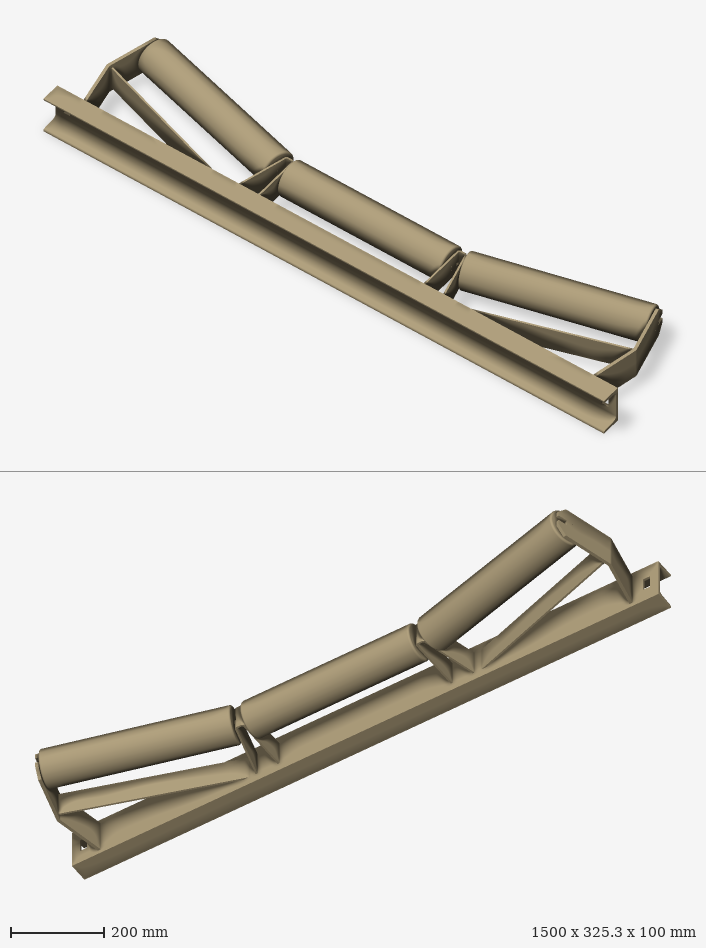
import cadquery as cq
import math

BEAM_LENGTH = 1500
BEAM_HEIGHT = 100.0
FLANGE_DEPTH = 50.0
WEB_THICKNESS = 6.0
FLANGE_THICKNESS = 8.5
FLANGE_SLOPE = 0.08
ROOT_RADIUS = 8.5
TOE_RADIUS = 5.0
BEAM_SLOT_WIDTH = 18.0
BEAM_SLOT_HEIGHT = 32.0
BEAM_SLOT_INSET = 30.0

ROLLER_DIAMETER = 88.0
ROLLER_LENGTH = 432.0
ROLLER_END_RADIUS = 5.0
SHAFT_DIAMETER = 20.0
SHAFT_FLATS = 14.0
END_GAP = 3.0

TROUGH_ANGLE = 15
CENTRE_AXIS_Y = 117.0
SIDE_ROLLER_X = 459.0
SIDE_ROLLER_Y = 178.0

OUTER_WIDTH = 80.0
INNER_WIDTH = 60.0
INNER_PLATE = 5.0
INNER_TOP_Y = 141.0
INNER_BEND_RADIUS = 8.0
OUTER_PLATE = 8.0
OUTER_TIP_RISE = 32.0
OUTER_TIP_CHAMFER = 21.0
OUTER_BEND_Y = 122.0
OUTER_BEND_RADIUS = 12.0
OUTER_FOOT_X = 684.0
BRACE_THICKNESS = 5.0
BRACE_FOOT_X = 312.0
BRACE_TOP_Y = 126.0

COS = math.cos(math.radians(TROUGH_ANGLE))
SIN = math.sin(math.radians(TROUGH_ANGLE))
TAN = SIN / COS
NEAR_FACE = ROLLER_LENGTH / 2 + END_GAP


def on_side_roller(along, rise=0):
    """XY point at a distance along the tilted roller axis and a rise square to it."""
    return (
        SIDE_ROLLER_X + along * COS - rise * SIN,
        SIDE_ROLLER_Y + along * SIN + rise * COS,
    )


def leg_x(along, y):
    """X at height y on the plane square to the tilted axis at the given distance along it."""
    axis_x, axis_y = on_side_roller(along)
    return axis_x - (y - axis_y) * TAN


def on_side(body, side):
    """Return the right-hand body itself, or its mirror image for the left side."""
    return body if side > 0 else body.mirror("YZ")


def strip(points, width):
    """XY outline extruded to the given width, centred on Z = 0."""
    return (
        cq.Workplane("XY")
        .workplane(offset=-width / 2)
        .polyline(points)
        .close()
        .extrude(width)
    )


def make_beam():
    half = BEAM_HEIGHT / 2
    middle = FLANGE_DEPTH / 2
    root = half - FLANGE_THICKNESS - FLANGE_SLOPE * (middle - WEB_THICKNESS)
    toe = half - FLANGE_THICKNESS + FLANGE_SLOPE * (FLANGE_DEPTH - middle)
    outline = [
        (0, -half), (-FLANGE_DEPTH, -half), (-FLANGE_DEPTH, -toe), (-WEB_THICKNESS, -root),
        (-WEB_THICKNESS, root), (-FLANGE_DEPTH, toe), (-FLANGE_DEPTH, half), (0, half),
    ]
    beam = (
        cq.Workplane("YZ")
        .workplane(offset=-BEAM_LENGTH / 2)
        .polyline(outline)
        .close()
        .extrude(BEAM_LENGTH)
    )
    for radius, y, z in ((ROOT_RADIUS, -WEB_THICKNESS, root), (TOE_RADIUS, -FLANGE_DEPTH, toe)):
        for sign in (-1, 1):
            corner = cq.selectors.NearestToPointSelector((0, y, sign * z))
            beam = beam.edges("|X").edges(corner).fillet(radius)
    slot_x = BEAM_LENGTH / 2 - BEAM_SLOT_INSET
    slots = (
        cq.Workplane("XZ")
        .pushPoints([(-slot_x, 0), (slot_x, 0)])
        .rect(BEAM_SLOT_WIDTH, BEAM_SLOT_HEIGHT)
        .extrude(FLANGE_DEPTH)
    )
    return beam.cut(slots)


def make_roller(inner_plate, outer_plate):
    """Roller along X at the origin, its flatted shaft ends flush with the plates that carry it."""
    roller = (
        cq.Workplane("YZ")
        .workplane(offset=-ROLLER_LENGTH / 2)
        .circle(ROLLER_DIAMETER / 2)
        .extrude(ROLLER_LENGTH)
        .faces("<X or >X")
        .edges()
        .fillet(ROLLER_END_RADIUS)
    )
    start = -NEAR_FACE - inner_plate
    length = 2 * NEAR_FACE + inner_plate + outer_plate
    shaft = cq.Workplane("YZ").workplane(offset=start).circle(SHAFT_DIAMETER / 2).extrude(length)
    flats = cq.Workplane("YZ").workplane(offset=start).rect(SHAFT_DIAMETER, SHAFT_FLATS).extrude(length)
    return roller.union(shaft.intersect(flats))


def place_on_slope(body):
    return body.rotate((0, 0, 0), (0, 0, 1), TROUGH_ANGLE).translate((SIDE_ROLLER_X, SIDE_ROLLER_Y, 0))


def make_side_roller(side):
    return on_side(place_on_slope(make_roller(INNER_PLATE, OUTER_PLATE)), side)


def shaft_slot(start, length):
    """Cutter along X at the origin: an open slot that starts under the shaft and runs up in Y."""
    bottom = -SHAFT_DIAMETER / 2
    return (
        cq.Workplane("YZ")
        .workplane(offset=start)
        .moveTo(bottom, 0)
        .lineTo(bottom, SHAFT_FLATS / 2)
        .lineTo(ROLLER_DIAMETER, SHAFT_FLATS / 2)
        .lineTo(ROLLER_DIAMETER, -SHAFT_FLATS / 2)
        .lineTo(bottom, -SHAFT_FLATS / 2)
        .close()
        .extrude(length)
    )


def make_inner_bracket(side):
    """Bent strip: an upright leg, a short bridge and a leg square to the tilted roller."""
    upright_in = NEAR_FACE
    upright_out = NEAR_FACE + INNER_PLATE
    under_y = INNER_TOP_Y - INNER_PLATE
    tilted_in = -NEAR_FACE - INNER_PLATE
    tilted_out = -NEAR_FACE
    bracket = strip([
        (upright_in, 0),
        (upright_in, INNER_TOP_Y),
        (leg_x(tilted_out, INNER_TOP_Y), INNER_TOP_Y),
        (leg_x(tilted_out, 0), 0),
        (leg_x(tilted_in, 0), 0),
        (leg_x(tilted_in, under_y), under_y),
        (upright_out, under_y),
        (upright_out, 0),
    ], INNER_WIDTH)
    bracket = bracket.faces(">Y").edges("|Z").fillet(INNER_BEND_RADIUS)
    for x in (upright_out, leg_x(tilted_in, under_y)):
        inside = cq.selectors.NearestToPointSelector((x, under_y, 0))
        bracket = bracket.edges("|Z").edges(inside).fillet(INNER_BEND_RADIUS - INNER_PLATE)
    centre_slot = shaft_slot(upright_in, INNER_PLATE).translate((0, CENTRE_AXIS_Y, 0))
    side_slot = place_on_slope(shaft_slot(tilted_in, INNER_PLATE))
    return on_side(bracket.cut(centre_slot).cut(side_slot), side)


def outer_bend():
    """Inner corner of the bend in the outer bracket."""
    return leg_x(NEAR_FACE, OUTER_BEND_Y), OUTER_BEND_Y


def make_outer_bracket(side):
    """Bent strip: a leg leaning outwards, then a plate square to the tilted roller."""
    bend_x, bend_y = outer_bend()
    bend_out_x = leg_x(NEAR_FACE + OUTER_PLATE, bend_y)
    bracket = strip([
        (OUTER_FOOT_X - OUTER_PLATE, 0),
        (bend_x, bend_y),
        on_side_roller(NEAR_FACE, OUTER_TIP_RISE),
        on_side_roller(NEAR_FACE + OUTER_PLATE, OUTER_TIP_RISE),
        (bend_out_x, bend_y),
        (OUTER_FOOT_X, 0),
    ], OUTER_WIDTH)
    outside = cq.selectors.NearestToPointSelector((bend_out_x, bend_y, 0))
    inside = cq.selectors.NearestToPointSelector((bend_x, bend_y, 0))
    bracket = bracket.edges("|Z").edges(outside).fillet(OUTER_BEND_RADIUS)
    bracket = bracket.edges("|Z").edges(inside).fillet(OUTER_BEND_RADIUS - OUTER_PLATE)
    bracket = bracket.faces(">Y").edges("<Z or >Z").chamfer(OUTER_TIP_CHAMFER)
    return on_side(bracket.cut(place_on_slope(shaft_slot(NEAR_FACE, OUTER_PLATE))), side)


def make_brace(side):
    """Sloping strip from the beam up to the outer bracket, a little above its bend."""
    top_x = leg_x(NEAR_FACE, BRACE_TOP_Y)
    slope = math.atan2(BRACE_TOP_Y, top_x - BRACE_FOOT_X)
    foot_length = BRACE_THICKNESS / math.sin(slope)
    end_height = BRACE_THICKNESS / math.cos(slope)
    end_rise = end_height / (1 + TAN * math.tan(slope))
    brace = strip([
        (BRACE_FOOT_X, 0),
        (top_x, BRACE_TOP_Y),
        (top_x - end_rise * TAN, BRACE_TOP_Y + end_rise),
        (BRACE_FOOT_X - foot_length, 0),
    ], INNER_WIDTH)
    return on_side(brace, side).cut(make_outer_bracket(side))


SIDES = (-1, 1)
beam = make_beam()
centre_roller = make_roller(INNER_PLATE, INNER_PLATE).translate((0, CENTRE_AXIS_Y, 0))
side_rollers = [make_side_roller(side).val() for side in SIDES]
inner_brackets = [make_inner_bracket(side).val() for side in SIDES]
outer_brackets = [make_outer_bracket(side).val() for side in SIDES]
braces = [make_brace(side).val() for side in SIDES]

result = cq.Compound.makeCompound(
    [beam.val(), centre_roller.val(), *side_rollers, *inner_brackets, *outer_brackets, *braces]
)